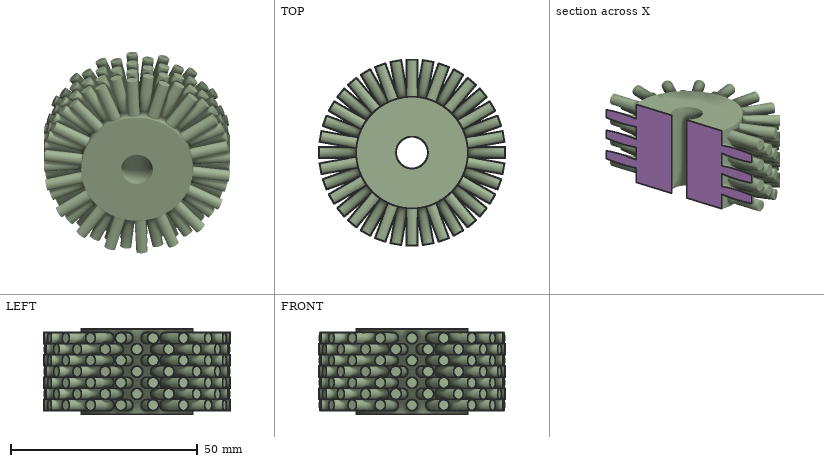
import cadquery as cq

HUB_DIAMETER = 30.0
HUB_HEIGHT = 23.0
BORE_DIAMETER = 8.5

OUTER_DIAMETER = 50.0
PIN_DIAMETER = 3.0
PIN_ROOT_DEPTH = 2.0
ROW_COUNT = 7
ROW_PITCH = PIN_DIAMETER
PINS_PER_ROW = 18

PIN_PITCH_ANGLE = 360.0 / PINS_PER_ROW
PIN_START_RADIUS = HUB_DIAMETER / 2 - PIN_ROOT_DEPTH
PIN_LENGTH = OUTER_DIAMETER / 2 - PIN_START_RADIUS
FIRST_ROW_HEIGHT = (HUB_HEIGHT - (ROW_COUNT - 1) * ROW_PITCH) / 2


def make_hub():
    """Disc standing on Z = 0 with its central bore."""
    return (
        cq.Workplane("XY")
        .circle(HUB_DIAMETER / 2)
        .circle(BORE_DIAMETER / 2)
        .extrude(HUB_HEIGHT)
    )


def make_pin(angle, height):
    """Flat-ended round pin pointing outward at the given angle and height."""
    pin = cq.Solid.makeCylinder(
        PIN_DIAMETER / 2,
        PIN_LENGTH,
        cq.Vector(PIN_START_RADIUS, 0, height),
        cq.Vector(1, 0, 0),
    )
    return pin.rotate(cq.Vector(0, 0, 0), cq.Vector(0, 0, 1), angle)


def make_row(row):
    """All pins of one row; even rows, including the end rows, are turned by half a pitch."""
    turn = PIN_PITCH_ANGLE / 2 if row % 2 == 0 else 0.0
    height = FIRST_ROW_HEIGHT + row * ROW_PITCH
    return [make_pin(turn + i * PIN_PITCH_ANGLE, height) for i in range(PINS_PER_ROW)]


pins = [pin for row in range(ROW_COUNT) for pin in make_row(row)]
result = cq.Workplane(obj=make_hub().val().fuse(*pins))